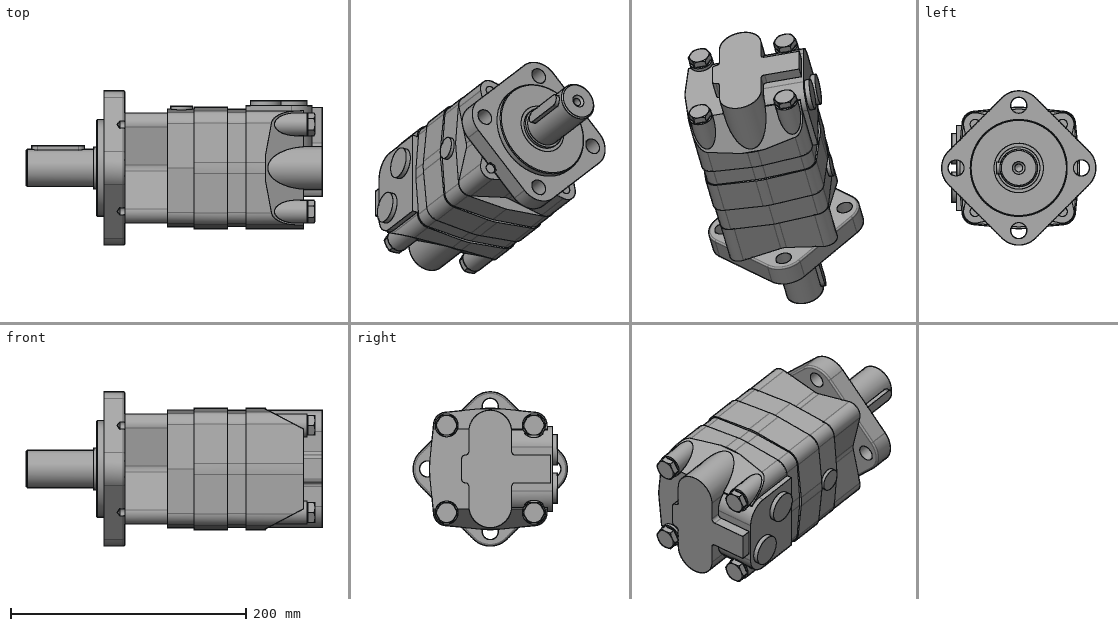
import cadquery as cq
import math


collar_x = 57.5
pilot_x = 60.0
flange_x = 66.0
flange_rear_x = 84.0
neck_end_x = 120.1
ring_x = 142.8
plate_x = 171.3
cover_x = 186.8
cover_rear_x = 235.8
bolt_seat_x = 238.8
motor_end_x = 251.8

shaft_d = 32.0
shaft_chamfer = 1.2
collar_d = 36.0
journal_d = 42.0
journal_end_x = flange_rear_x
centre_hole_d = 6.65
centre_countersink_d = 10.8
centre_hole_depth = 22.0
key_x = 4.7
key_length = 45.0
key_width = 10.0
key_height = 8.0
key_top_y = 19.0

pilot_d = 82.5
pilot_chamfer = 0.8
flange_span = 131.31
flange_corner_r = 20.0
flange_rear_fillet = 1.5
mount_hole_d = 13.5
mount_hole_offset = 53.2

bolt_offset = 37.1
bolt_shank_d = 10.0
bolt_thread_d = 8.38
bolt_thread_tip_x = flange_rear_x
bolt_hole_bottom_x = 79.8
drill_point_angle = 118.0
bolt_head_flats = 16.9
bolt_head_height = 6.0
bolt_washer_face_d = 16.0
bolt_washer_face_height = 0.6
bolt_head_clearance_d = 21.0
bolt_head_chamfer_angle = 30.0
bolt_head_corners = bolt_head_flats / math.cos(math.radians(30))

neck_mid = 39.0
neck_corner_r = 9.8
neck_mid_half_width = 2.5
housing_mid = 50.1
housing_corner_r = 10.1
plate_mid = 50.1
ring_mid = 52.0
ring_corner_r = 11.2
mid_half_width = 4.55

drain_plug_d = 18.63
drain_plug_x = 132.2
drain_plug_top_y = 52.6

slope_start_x = 203.3
slope_start_z = 51.0
slope_angle = 27.8
bolt_boss_d = 19.6
hump_r = 18.2
hump_z = 31.7
rib_half_width = 24.3
rib_half_height = 11.8
rib_blend_r = (rib_half_width - hump_r) / 2
rear_block_y = 51.4
port_block_y = 53.0
port_block_end_x = 243.0
port_block_half_height = 36.2
port_block_corner_r = 17.4
port_boss_d = 26.0
port_boss_top_y = 57.1
port_boss_places = ((203.6, 16.3), (225.8, -16.3))

corner_signs = ((1, 1), (-1, 1), (-1, -1), (1, -1))
bolt_places = [(sy * bolt_offset, sz * bolt_offset) for sy, sz in corner_signs]


def cross_plane(x):
    """Plane across the motor axis at x, with local axes Y and Z and its normal along +X."""
    return cq.Workplane("YZ", origin=(x, 0, 0))


def rod(diameter, x_start, x_end, y=0, z=0):
    """Cylinder parallel to the motor axis."""
    return cross_plane(x_start).center(y, z).circle(diameter / 2).extrude(x_end - x_start)


def side_disc(diameter, x, z, y_start, y_end):
    """Cylinder parallel to Y, standing on the +Y side."""
    plane = cq.Plane(origin=(x, y_start, z), xDir=(1, 0, 0), normal=(0, 1, 0))
    return cq.Workplane(plane).circle(diameter / 2).extrude(y_end - y_start)


def bent_square(x_start, x_end, mid, corner_r, half_width=0):
    """Bar with rounded corners around the bolts and sides that bend to `mid` at mid-width.

    Each half side runs from the bend, tangent to the corner arc. The bend is sharp, or is
    blended by an arc over `half_width` on each side of the middle.
    """
    rise = mid - bolt_offset
    tilt = math.acos(corner_r / math.hypot(rise, bolt_offset)) - math.atan2(bolt_offset, rise)
    along = bolt_offset + corner_r * math.sin(tilt)
    out = bolt_offset + corner_r * math.cos(tilt)
    corner = bolt_offset + corner_r * math.cos(math.radians(45))
    blend_end = mid - half_width * math.tan(tilt)
    blend_mid = blend_end + half_width * math.tan(tilt / 2)

    outline = cross_plane(x_start).moveTo(half_width, blend_end)
    for turn in (0, -90, -180, -270):
        c = round(math.cos(math.radians(turn)))
        s = round(math.sin(math.radians(turn)))

        def turned(y, z):
            return (c * y - s * z, s * y + c * z)

        outline = outline.lineTo(*turned(along, out))
        outline = outline.threePointArc(turned(corner, corner), turned(out, along))
        outline = outline.lineTo(*turned(blend_end, half_width))
        if half_width:
            outline = outline.threePointArc(turned(blend_mid, 0), turned(blend_end, -half_width))
    return outline.close().extrude(x_end - x_start)


def bolt_holes(x_start, x_end, diameter):
    """Four cutters for the bolt shanks."""
    return cross_plane(x_start).pushPoints(bolt_places).circle(diameter / 2).extrude(x_end - x_start)


def make_key():
    """Round-ended key, also the shape of its slot in the shaft."""
    middle_x = key_x + key_length / 2
    plane = cq.Plane(origin=(middle_x, key_top_y, 0), xDir=(1, 0, 0), normal=(0, -1, 0))
    return cq.Workplane(plane).slot2D(key_length, key_width).extrude(key_height)


def make_shaft():
    shaft = rod(shaft_d, 0, collar_x).faces("<X").chamfer(shaft_chamfer)
    shaft = shaft.union(rod(collar_d, collar_x, pilot_x))
    shaft = shaft.union(rod(journal_d, pilot_x, journal_end_x))
    sink_depth = (centre_countersink_d - centre_hole_d) / 2
    hole_r = centre_hole_d / 2
    point_length = hole_r / math.tan(math.radians(drill_point_angle / 2))
    hole = (
        cq.Workplane("XY")
        .moveTo(0, 0)
        .lineTo(0, centre_countersink_d / 2)
        .lineTo(sink_depth, hole_r)
        .lineTo(centre_hole_depth, hole_r)
        .lineTo(centre_hole_depth + point_length, 0)
        .close()
        .revolve(360, (0, 0, 0), (1, 0, 0))
    )
    return shaft.cut(hole).cut(make_key())


def make_flange():
    """Four-bolt flange: a square standing on its corner, with a round pilot in front."""
    corner_centre = flange_span / 2 - flange_corner_r
    side = math.sqrt(2) * corner_centre + 2 * flange_corner_r
    flange = (
        cross_plane(flange_x)
        .transformed(rotate=(0, 0, 45))
        .rect(side, side)
        .extrude(flange_rear_x - flange_x)
        .edges("|X")
        .fillet(flange_corner_r)
        .faces(">X")
        .edges()
        .fillet(flange_rear_fillet)
    )
    pilot = rod(pilot_d, pilot_x, flange_x).faces("<X").chamfer(pilot_chamfer)
    return flange.union(pilot)


def make_tapped_hole(y, z):
    """Tapped bolt hole of the housing, drilled from behind with a pointed bottom."""
    radius = bolt_thread_d / 2
    point_length = radius / math.tan(math.radians(drill_point_angle / 2))
    point = cq.Solid.makeCone(
        radius, 0, point_length, pnt=cq.Vector(bolt_hole_bottom_x, y, z), dir=cq.Vector(-1, 0, 0)
    )
    return rod(bolt_thread_d, bolt_hole_bottom_x, ring_x, y, z).union(cq.Workplane(point))


def make_housing():
    housing = make_flange()
    neck = bent_square(flange_rear_x, neck_end_x, neck_mid, neck_corner_r, neck_mid_half_width)
    housing = housing.union(neck)
    housing = housing.union(bent_square(neck_end_x, ring_x, housing_mid, housing_corner_r))
    mount_holes = (
        cross_plane(flange_x)
        .polarArray(mount_hole_offset, 0, 360, 4)
        .circle(mount_hole_d / 2)
        .extrude(flange_rear_x - flange_x)
    )
    housing = housing.cut(mount_holes)
    for y, z in bolt_places:
        housing = housing.cut(make_tapped_hole(y, z))
    housing = housing.cut(rod(journal_d, pilot_x, journal_end_x))
    return housing.union(side_disc(drain_plug_d, drain_plug_x, 0, bolt_offset, drain_plug_top_y))


def make_ring():
    ring = bent_square(ring_x, plate_x, ring_mid, ring_corner_r, mid_half_width)
    return ring.cut(bolt_holes(ring_x, plate_x, bolt_shank_d))


def make_plate():
    plate = bent_square(plate_x, cover_x, plate_mid, housing_corner_r, mid_half_width)
    return plate.cut(bolt_holes(plate_x, cover_x, bolt_shank_d))


def make_slope_cutter():
    """Wedge that slopes the top of the cover down towards the rear."""
    run = cover_rear_x - slope_start_x + 1
    end_x = slope_start_x + run
    end_z = slope_start_z - run * math.tan(math.radians(slope_angle))
    return (
        cq.Workplane("XZ")
        .moveTo(slope_start_x, slope_start_z)
        .lineTo(end_x, end_z)
        .lineTo(end_x, flange_span / 2)
        .lineTo(slope_start_x, flange_span / 2)
        .close()
        .extrude(flange_span / 2, both=True)
    )


def make_rear_web():
    """Web between the two humps, with a rib on the -Y side and a block on the +Y side.

    The rib and the block meet the web in concave rounds; the rib has convex edges as well.
    """
    def rounded(outline, y_centre, z_centre, angle, y_end, z_end):
        mid = (
            y_centre + rib_blend_r * math.cos(math.radians(angle)),
            z_centre + rib_blend_r * math.sin(math.radians(angle)),
        )
        return outline.threePointArc(mid, (y_end, z_end))

    rib_y = hump_r + rib_blend_r
    blend_z = rib_half_height + rib_blend_r
    edge_z = rib_half_height - rib_blend_r
    outline = cross_plane(cover_x).moveTo(-hump_r, -hump_z).lineTo(-hump_r, -blend_z)
    outline = rounded(outline, -rib_y, -blend_z, 45, -rib_y, -rib_half_height)
    outline = rounded(outline, -rib_y, -edge_z, 225, -rib_half_width, -edge_z)
    outline = outline.lineTo(-rib_half_width, edge_z)
    outline = rounded(outline, -rib_y, edge_z, 135, -rib_y, rib_half_height)
    outline = rounded(outline, -rib_y, blend_z, -45, -hump_r, blend_z)
    outline = outline.lineTo(-hump_r, hump_z).lineTo(hump_r, hump_z).lineTo(hump_r, blend_z)
    outline = rounded(outline, rib_y, blend_z, 225, rib_y, rib_half_height)
    outline = outline.lineTo(rear_block_y, rib_half_height).lineTo(rear_block_y, -rib_half_height)
    outline = outline.lineTo(rib_y, -rib_half_height)
    outline = rounded(outline, rib_y, -blend_z, 135, hump_r, -blend_z)
    return outline.lineTo(hump_r, -hump_z).close().extrude(motor_end_x - cover_x)


def make_port_block():
    """Block on the +Y side, rounded at its rear corners, that carries the two port bosses."""
    length = port_block_end_x - cover_x
    block = (
        cq.Workplane("XY")
        .box(length, port_block_y, 2 * port_block_half_height, centered=(False, False, True))
        .translate((cover_x, 0, 0))
        .edges("|Y and >X")
        .fillet(port_block_corner_r)
    )
    for x, z in port_boss_places:
        block = block.union(side_disc(port_boss_d, x, z, rear_block_y, port_boss_top_y))
    return block


def make_cover():
    cover = bent_square(cover_x, cover_rear_x, ring_mid, ring_corner_r, mid_half_width)
    slope_cutter = make_slope_cutter()
    cover = cover.cut(slope_cutter).cut(slope_cutter.mirror("XY"))
    cover = cover.union(make_rear_web()).union(make_port_block())
    for z in (hump_z, -hump_z):
        cover = cover.union(rod(2 * hump_r, cover_x, motor_end_x, 0, z))
    for y, z in bolt_places:
        cover = cover.union(rod(bolt_boss_d, cover_x, bolt_seat_x, y, z))
        cover = cover.cut(rod(bolt_head_clearance_d, bolt_seat_x, motor_end_x, y, z))
    return cover.cut(bolt_holes(cover_x, bolt_seat_x, bolt_shank_d))


def make_bolt(y, z):
    """Hexagon bolt with two head corners pointing along Y and a round washer face under the head."""
    head_x = bolt_seat_x + bolt_washer_face_height
    head_end_x = head_x + bolt_head_height
    head = cross_plane(head_x).center(y, z).polygon(6, bolt_head_corners).extrude(bolt_head_height)
    chamfer_width = (bolt_head_corners - bolt_head_flats) / 2
    chamfer_depth = chamfer_width * math.tan(math.radians(bolt_head_chamfer_angle))
    envelope = rod(bolt_head_corners, head_x, head_end_x, y, z)
    head = head.intersect(envelope.faces(">X").chamfer(chamfer_depth, chamfer_width))
    washer_face = rod(bolt_washer_face_d, bolt_seat_x, head_x, y, z)
    shank = rod(bolt_shank_d, ring_x, bolt_seat_x, y, z)
    thread = rod(bolt_thread_d, bolt_thread_tip_x, ring_x, y, z)
    return head.union(washer_face).union(shank).union(thread)


shaft = make_shaft()
key = make_key()
housing = make_housing()
ring = make_ring()
plate = make_plate()
cover = make_cover()
bolts = [make_bolt(y, z) for y, z in bolt_places]

bodies = [shaft, key, housing, ring, plate, cover] + bolts
result = cq.Compound.makeCompound([body.val() for body in bodies])